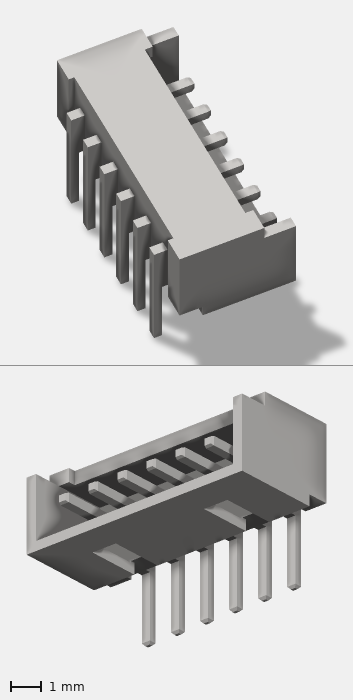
import cadquery as cq

total_width = 9.25
total_depth = 4.5
total_height = 5.49

housing_depth = 4.21
housing_height = 3.34
side_wall = 0.4
roof_thickness = 0.52
floor_thickness = 0.37
cavity_depth = 3.2

roof_setback = 1.15
roof_notch_depth = 0.29
roof_notch_width = 7.585
front_recess_depth = 0.2
front_recess_width = 7.47
step_depth = 0.84
step_height = 0.435

slot_width = 1.0
slot_outer_edge = 2.895
slot_rear_setback = 1.28

pin_count = 6
pin_pitch = 1.25
pin_width = 0.35
pin_top_drop = 1.09
pin_rear_gap = 0.03
contact_tip_length = 0.12
contact_tip_inset = 0.05
tail_tip_length = 0.09
tail_tip_inset = 0.08

housing_front = total_depth - housing_depth
housing_rear = total_depth
recess_face = housing_front + front_recess_depth
tail_thickness = housing_front
tail_bottom = housing_height - total_height
pin_top = housing_height - pin_top_drop
cavity_roof = housing_height - roof_thickness
contact_middle = (floor_thickness + cavity_roof) / 2
contact_end = housing_rear - pin_rear_gap


def block(width, y_start, y_end, z_start, z_end, x_middle=0.0):
    """Box given by its width about x_middle and its Y and Z limits."""
    return (
        cq.Workplane("XY")
        .box(width, y_end - y_start, z_end - z_start, centered=(True, False, False))
        .translate((x_middle, y_start, z_start))
    )


def make_housing():
    roof_rear = housing_rear - roof_setback
    body = block(total_width, housing_front, housing_rear, 0, housing_height)
    cavity_width = total_width - 2 * side_wall
    body = body.cut(
        block(cavity_width, housing_rear - cavity_depth, housing_rear, floor_thickness, cavity_roof)
    )
    body = body.cut(block(total_width, roof_rear, housing_rear, cavity_roof, housing_height))
    body = body.cut(
        block(roof_notch_width, roof_rear - roof_notch_depth, roof_rear, cavity_roof, housing_height)
    )
    body = body.cut(block(front_recess_width, housing_front, recess_face, 0, housing_height))
    body = body.cut(block(total_width, housing_front, housing_front + step_depth, 0, step_height))
    for side in (-1, 1):
        slot_middle = side * (slot_outer_edge - slot_width / 2)
        body = body.cut(
            block(
                slot_width, housing_front + step_depth, housing_rear - slot_rear_setback,
                0, step_height, slot_middle,
            )
        )
    return body


def pin_tip(plane, thickness, length, inset):
    """Tapered pin end, growing along the normal of the plane."""
    return (
        cq.Workplane(plane)
        .rect(pin_width, thickness)
        .workplane(offset=length)
        .rect(pin_width - 2 * inset, thickness - 2 * inset)
        .loft(ruled=True)
    )


def make_pin():
    """Bent pin: contact pointing to the rear, tail pointing down."""
    contact_bottom = contact_middle - pin_width / 2
    taper_start = contact_end - contact_tip_length
    contact = block(pin_width, 0, taper_start, contact_bottom, contact_bottom + pin_width)
    contact_tip = pin_tip(
        cq.Plane((0, taper_start, contact_middle), (1, 0, 0), (0, 1, 0)),
        pin_width, contact_tip_length, contact_tip_inset,
    )
    web = block(pin_width, 0, recess_face, step_height, pin_top)
    tail = block(pin_width, 0, tail_thickness, tail_bottom + tail_tip_length, pin_top)
    tail_tip = pin_tip(
        cq.Plane((0, tail_thickness / 2, tail_bottom + tail_tip_length), (1, 0, 0), (0, 0, -1)),
        tail_thickness, tail_tip_length, tail_tip_inset,
    )
    return contact.union(contact_tip).union(web).union(tail).union(tail_tip)


result = make_housing()
pin = make_pin()
for index in range(pin_count):
    pin_x = (index - (pin_count - 1) / 2) * pin_pitch
    result = result.union(pin.translate((pin_x, 0, 0)))